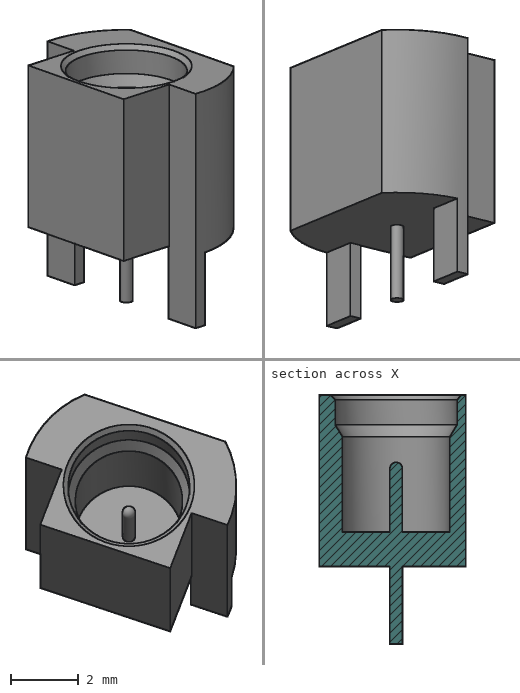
import cadquery as cq
import math

total_height = 7.37
body_height = 5.085
leg_length = total_height - body_height
flange_radius = 3.18
back_y = 2.28
front_y = -2.06
flange_front_y = -0.2
block_half_width = 2.04

leg_inner_x = 2.01
leg_thickness = 0.39
pin_radius = 0.19
pin_tip_depth = 1.99

rim_radius = 1.94
entry_radius = 1.8
bore_radius = 1.585
rim_depth = 0.15
entry_depth = 0.885
taper_end_depth = 1.24
bore_depth = 4.05


def box_between(x0, x1, y0, y1, z0, z1):
    return cq.Workplane("XY").box(x1 - x0, y1 - y0, z1 - z0, centered=False).translate((x0, y0, z0))


def make_flange(bottom_z, rear_y):
    """Round flange cut flat at the front and at rear_y, reaching up to the top face."""
    disc = cq.Workplane("XY").workplane(offset=bottom_z).circle(flange_radius).extrude(total_height - bottom_z)
    return disc.intersect(
        box_between(-flange_radius, flange_radius, flange_front_y, rear_y, bottom_z, total_height)
    )


def make_body():
    block = box_between(
        -block_half_width, block_half_width, front_y, back_y, leg_length, total_height
    )
    return make_flange(leg_length, back_y).union(block)


def make_legs():
    """Two flat legs whose outer faces follow the round flange."""
    strip = make_flange(0, flange_front_y + leg_thickness)
    gap = box_between(-leg_inner_x, leg_inner_x, front_y, back_y, 0, total_height)
    return strip.cut(gap)


def make_bore():
    top = total_height
    return (
        cq.Workplane("XZ")
        .moveTo(0, top)
        .lineTo(rim_radius, top)
        .lineTo(entry_radius, top - rim_depth)
        .lineTo(entry_radius, top - entry_depth)
        .lineTo(bore_radius, top - taper_end_depth)
        .lineTo(bore_radius, top - bore_depth)
        .lineTo(0, top - bore_depth)
        .close()
        .revolve(360, (0, 0), (0, 1))
    )


def make_pin():
    """Pin through the bore floor, with a domed upper tip."""
    tip_z = total_height - pin_tip_depth
    shoulder_z = tip_z - pin_radius
    arc_offset = pin_radius * math.sqrt(0.5)
    return (
        cq.Workplane("XZ")
        .lineTo(pin_radius, 0)
        .lineTo(pin_radius, shoulder_z)
        .threePointArc((arc_offset, shoulder_z + arc_offset), (0, tip_z))
        .close()
        .revolve(360, (0, 0), (0, 1))
    )


result = make_body().union(make_legs()).cut(make_bore()).union(make_pin())